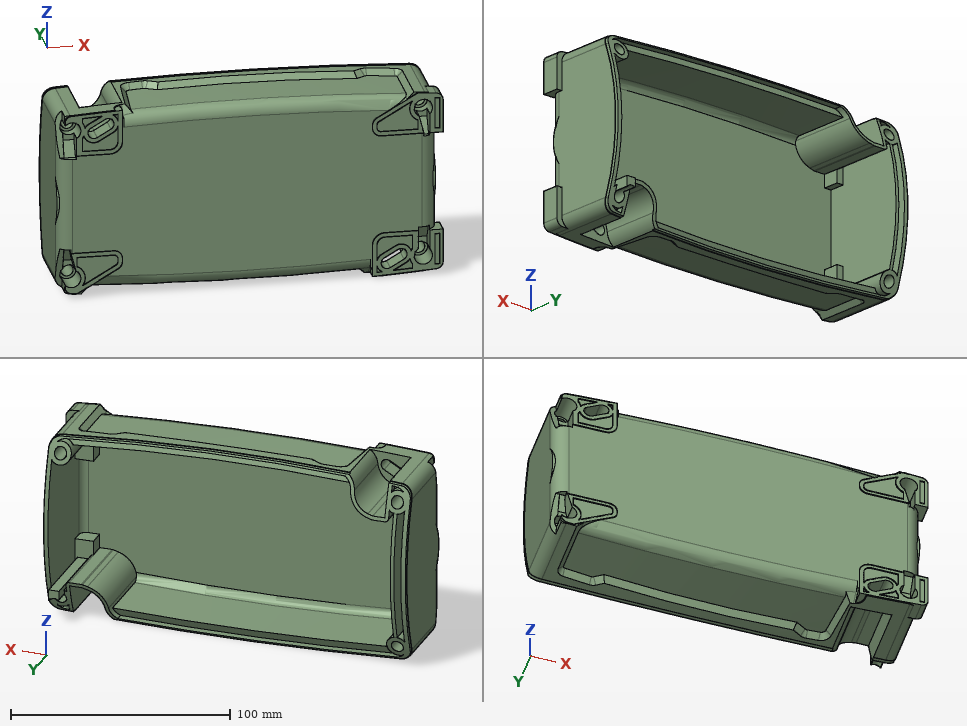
import cadquery as cq
import math


HALF_LENGTH = 88.0
HALF_HEIGHT = 46.365
SIDE_BOW = 3.2
CORNER_RADIUS = 6.0
FLOOR_Y = 0.5
END_ROUND = 6.8
SIDE_ROUND = 6.0

RIM_TOP_Y = 48.2
RIM_RADIUS = 107.6
RIM_BAND = 1.7
RIM_STEP = 0.25

PAD_RADIUS = 18.8
PAD_BOTTOM_Y = 3.3

END_WALL = 2.4
SIDE_WALL = 5.0
CAVITY_FLOOR_Y = 3.0
CAVITY_ROUND = 3.5
LIP_WALL = 1.2
LIP_HEIGHT = 3.5

PANEL_DEPTH = 2.7
PANEL_X_MIN_TOP = -49.0
PANEL_X_MIN_BOTTOM = -51.5
PANEL_X_MAX = 74.0
PANEL_TOP_MID = 24.8
PANEL_TOP_END = 28.3
PANEL_NOTCH_X = -57.3
PANEL_NOTCH_Y = 2.3
PANEL_START_Z = 35.0
PANEL_FLARE_Z = 40.5
PANEL_FLARE_ANGLE = 45.0
PANEL_STEP_X = ((-43.0, -37.5), (56.5, 61.0))

SCREW_X = 81.7
SCREW_Z = 36.0
SCREW_DIAMETER = 5.8
COUNTERBORE_DIAMETER = 8.4
COUNTERBORE_DEPTH = 12.0
BOSS_RADIUS = 5.2
FOOT_HEIGHT = 9.2
FOOT_INNER_X = 58.1
FOOT_INNER_Z = 23.7
FOOT_RADIUS = 5.8
FOOT_OVERHANG_X = 90.93
FOOT_OVERHANG_RADIUS = 3.5
FOOT_SETBACK_X = 84.7
SETBACK_CORNER_RADIUS = 3.0
FOOT_RIM = 2.1
FOOT_INSET = 0.3
GUSSET_ANGLE = 30.0
GUSSET_CORNER_Z = 31.4
GUSSET_TIP_RADIUS = 4.0
CHANNEL_INNER_X = 79.4
CHANNEL_END_Z = 22.1
CHANNEL_SLOPE_Z = 29.3
CHANNEL_DEPTH = 7.2
GUSSET_CHANNEL_X = 82.0
ROOF_LOW_Y = 3.2
ROOF_HIGH_Y = 9.0
ROOF_HIGH_Z = 43.0
SQUARE_RELIEF_X = 76.7
GUSSET_RELIEF_X = 79.2
CORNER_BLOCK_Y = 11.5

GROOVE_X_MIN = 87.1
GROOVE_X_MAX = 89.3
GROOVE_Z_MAX = 40.5

SLOT_X = -68.1
SLOT_Z = 36.5
SLOT_WIDTH = 5.6
SLOT_LENGTH = 13.0
SLOT_ANGLE = 30.0
VALLEY_POST_X = -76.5
VALLEY_FLOOR_Z = 28.5
VALLEY_FLOOR_END_X = -70.6
VALLEY_CURVE_START = (-68.2, 29.2)
VALLEY_CURVE_MIDDLE = (-60.5, 38.5)
VALLEY_CURVE_END = (-52.5, 46.6)
VALLEY_WALL = 1.8

POST_X_MIN = 79.4
POST_X_MAX = 84.4
POST_Z_MIN = -34.4
POST_Z_MAX = -29.1
POST_TOP_Y = 50.5
POST_CHAMFER = 1.0
RIB_X_MIN = -82.2
RIB_THICKNESS = 1.7

BEYOND = 60.0
SIDE_ARC_RADIUS = (HALF_LENGTH**2 + SIDE_BOW**2) / (2 * SIDE_BOW)
CORNERS = [(sx, sz) for sx in (-1, 1) for sz in (-1, 1)]


def face_plane(y):
    return cq.Workplane("XZ", origin=(0, y, 0))


def block(x0, x1, y0, y1, z0, z1):
    return cq.Workplane("XY").box(x1 - x0, y1 - y0, z1 - z0, centered=False).translate((x0, y0, z0))


def corner_block(sx, sz, x0, x1, y0, y1, z0, z1):
    xs = sorted((sx * x0, sx * x1))
    zs = sorted((sz * z0, sz * z1))
    return block(xs[0], xs[1], y0, y1, zs[0], zs[1])


def upright_cylinder(x, z, radius, y0, y1):
    return face_plane(y0).center(x, z).circle(radius).extrude(y0 - y1)


def half_turn(shape):
    return shape.rotate((0, 0, 0), (0, 1, 0), 180)


def bowed_prism(half_length, inset, y0, y1):
    """Prism with straight ends and bowed sides, its sides inset from the body sides."""
    radius = SIDE_ARC_RADIUS - inset
    crest = HALF_HEIGHT - inset
    end_z = crest - radius + math.sqrt(radius**2 - half_length**2)
    return (
        face_plane(y0)
        .moveTo(-half_length, -end_z)
        .lineTo(-half_length, end_z)
        .threePointArc((0, crest), (half_length, end_z))
        .lineTo(half_length, -end_z)
        .threePointArc((0, -crest), (-half_length, -end_z))
        .close()
        .extrude(y0 - y1)
    )


def rim_cylinder(drop):
    """Cylinder along X whose top is the arched rim surface, lowered by drop."""
    return (
        cq.Workplane("YZ", origin=(-2 * BEYOND, 0, 0))
        .center(RIM_TOP_Y - RIM_RADIUS, 0)
        .circle(RIM_RADIUS - drop)
        .extrude(4 * BEYOND)
    )


def outer_body():
    body = bowed_prism(HALF_LENGTH, 0, FLOOR_Y, BEYOND).edges("|Y").fillet(CORNER_RADIUS)
    rounded_ends = (
        block(-HALF_LENGTH, HALF_LENGTH, FLOOR_Y, BEYOND, -BEYOND, BEYOND)
        .edges("|Z and <Y")
        .fillet(END_ROUND)
    )
    pads = (
        cq.Workplane("YZ", origin=(-HALF_LENGTH, 0, 0))
        .center(PAD_BOTTOM_Y + PAD_RADIUS, 0)
        .circle(PAD_RADIUS)
        .extrude(2 * HALF_LENGTH)
    )
    body = body.intersect(rounded_ends).union(pads).intersect(rim_cylinder(0))
    inside_band = bowed_prism(HALF_LENGTH - RIM_STEP, RIM_STEP, 0, BEYOND)
    inside_band = inside_band.edges("|Y").fillet(CORNER_RADIUS - RIM_STEP)
    return body.intersect(inside_band.union(rim_cylinder(RIM_BAND)))


def panel_recess():
    """Recess in the +Z side, flared outward, with a rounded lower edge left on the body."""
    (left_end, left_mid), (right_mid, right_end) = PANEL_STEP_X

    def outline(z):
        return (
            cq.Workplane("XY", origin=(0, 0, z))
            .moveTo(PANEL_NOTCH_X, -BEYOND)
            .lineTo(PANEL_NOTCH_X, PANEL_NOTCH_Y)
            .lineTo(PANEL_X_MIN_BOTTOM, PANEL_NOTCH_Y)
            .lineTo(PANEL_X_MIN_TOP, PANEL_TOP_END)
            .lineTo(left_end, PANEL_TOP_END)
            .lineTo(left_mid, PANEL_TOP_MID)
            .lineTo(right_mid, PANEL_TOP_MID)
            .lineTo(right_end, PANEL_TOP_END)
            .lineTo(PANEL_X_MAX, PANEL_TOP_END)
            .lineTo(PANEL_X_MAX, -BEYOND)
            .close()
        )

    straight = outline(PANEL_START_Z).extrude(PANEL_FLARE_Z - PANEL_START_Z)
    flared = outline(PANEL_FLARE_Z).extrude(HALF_HEIGHT + 1 - PANEL_FLARE_Z, taper=-PANEL_FLARE_ANGLE)
    core = bowed_prism(2 * HALF_LENGTH, PANEL_DEPTH, FLOOR_Y, BEYOND)
    core = core.faces("<Y").edges("%CIRCLE").fillet(SIDE_ROUND)
    return straight.union(flared).cut(core)


def valley_outline(y):
    """Access valley beside the (-X, +Z) slot: near-flat floor, then an S-curve up to the side."""
    return (
        face_plane(y)
        .moveTo(VALLEY_POST_X, BEYOND)
        .lineTo(VALLEY_POST_X, VALLEY_FLOOR_Z)
        .lineTo(VALLEY_FLOOR_END_X, VALLEY_FLOOR_Z)
        .lineTo(*VALLEY_CURVE_START)
        .tangentArcPoint(VALLEY_CURVE_MIDDLE, relative=False)
        .tangentArcPoint(VALLEY_CURVE_END, relative=False)
        .lineTo(VALLEY_CURVE_END[0], BEYOND)
        .close()
    )


def cavity():
    space = bowed_prism(HALF_LENGTH - END_WALL, SIDE_WALL, CAVITY_FLOOR_Y, BEYOND)
    space = space.edges("|Y").fillet(CORNER_RADIUS).faces("<Y").edges().fillet(CAVITY_ROUND)
    lip_step = bowed_prism(HALF_LENGTH - END_WALL, LIP_WALL, CAVITY_FLOOR_Y, BEYOND)
    lip_step = lip_step.edges("|Y").fillet(CORNER_RADIUS).cut(rim_cylinder(LIP_HEIGHT))
    space = space.union(lip_step)
    kept_wall = valley_outline(0).offset2D(VALLEY_WALL).extrude(-BEYOND)
    space = space.cut(kept_wall).cut(half_turn(kept_wall))
    for sx, sz in CORNERS:
        space = space.cut(upright_cylinder(sx * SCREW_X, sz * SCREW_Z, BOSS_RADIUS, 0, BEYOND))
        space = space.cut(
            corner_block(
                sx, sz, SQUARE_RELIEF_X, HALF_LENGTH, 0, CORNER_BLOCK_Y, CHANNEL_END_Z - FOOT_RIM, BEYOND
            )
        )
    return space


def square_foot(inset, y0, y1):
    """Plate of the (-X, +Z) foot, rounded at its inner corner."""
    foot = block(
        -FOOT_OVERHANG_X, -FOOT_INNER_X - inset, y0, y1, FOOT_INNER_Z + inset, BEYOND
    )
    return foot.edges("|Y and >X and <Z").fillet(FOOT_RADIUS - inset)


def gusset_foot(inset, y0, y1):
    """Plate of the (-X, -Z) foot, with an edge sloping out to the side of the body."""
    slope = math.tan(math.radians(GUSSET_ANGLE))
    tip_x = -FOOT_INNER_X - inset
    top_z = -FOOT_INNER_Z - inset
    slope_z = -GUSSET_CORNER_Z + inset * (1 / math.cos(math.radians(GUSSET_ANGLE)) - slope)
    foot = (
        face_plane(y0)
        .moveTo(-FOOT_OVERHANG_X, top_z)
        .lineTo(tip_x, top_z)
        .lineTo(tip_x, slope_z)
        .lineTo(-FOOT_OVERHANG_X, slope_z - slope * (FOOT_OVERHANG_X + tip_x))
        .close()
        .extrude(y0 - y1)
    )
    return foot.edges("|Y and >X").fillet(GUSSET_TIP_RADIUS - inset)


def slot(growth, y0, y1):
    return (
        face_plane(y0)
        .center(SLOT_X, SLOT_Z)
        .slot2D(SLOT_LENGTH + 2 * growth, SLOT_WIDTH + 2 * growth, SLOT_ANGLE)
        .extrude(y0 - y1)
    )


def feet():
    plates = square_foot(0, 0, FOOT_HEIGHT).union(gusset_foot(0, 0, FOOT_HEIGHT))
    bounds = bowed_prism(FOOT_OVERHANG_X, FOOT_INSET, 0, FOOT_HEIGHT)
    bounds = bounds.edges("|Y").fillet(FOOT_OVERHANG_RADIUS)
    setback = block(-FOOT_SETBACK_X, FOOT_OVERHANG_X, 0, FOOT_HEIGHT, -BEYOND, BEYOND)
    plates = plates.union(half_turn(plates)).intersect(bounds).intersect(setback)
    return plates.edges("|Y and <X").fillet(SETBACK_CORNER_RADIUS)


def foot_reliefs():
    """Shallow pockets that leave a raised rim around each foot, its slot and its screw."""
    square = square_foot(FOOT_RIM, 0, FLOOR_Y).cut(slot(FOOT_RIM, 0, FLOOR_Y))
    square = square.intersect(bowed_prism(SQUARE_RELIEF_X, FOOT_RIM, 0, FLOOR_Y))
    gusset = gusset_foot(FOOT_RIM, 0, FLOOR_Y)
    gusset = gusset.intersect(bowed_prism(GUSSET_RELIEF_X, FOOT_RIM, 0, FLOOR_Y))
    screw_rim = COUNTERBORE_DIAMETER / 2 + FOOT_RIM
    reliefs = square.union(gusset)
    for sz in (-1, 1):
        reliefs = reliefs.cut(upright_cylinder(-SCREW_X, sz * SCREW_Z, screw_rim, 0, FLOOR_Y))
    return reliefs.union(half_turn(reliefs))


def both_sides_prism(outline):
    """Prism along the whole length from a (y, z) outline, with its copy on the -Z side."""
    half = cq.Workplane("YZ", origin=(-2 * BEYOND, 0, 0)).polyline(outline).close().extrude(4 * BEYOND)
    return half.union(half_turn(half))


def foot_setback():
    """Removes the end of the body beside the -X feet, up to a sloping roof."""
    under_roof = both_sides_prism(
        [
            (-1, CHANNEL_END_Z),
            (ROOF_LOW_Y, CHANNEL_END_Z),
            (ROOF_HIGH_Y, ROOF_HIGH_Z),
            (ROOF_HIGH_Y, BEYOND),
            (-1, BEYOND),
        ]
    )
    return block(-2 * BEYOND, -FOOT_SETBACK_X, -1, BEYOND, -BEYOND, BEYOND).intersect(under_roof)


def screw_channels():
    """Counterbores with channels that run toward mid height and end in a slope."""
    run_out = both_sides_prism(
        [
            (0, CHANNEL_END_Z),
            (ROOF_LOW_Y, CHANNEL_END_Z),
            (CHANNEL_DEPTH, CHANNEL_SLOPE_Z),
            (CHANNEL_DEPTH, BEYOND),
            (0, BEYOND),
        ]
    )
    channels = cq.Workplane("XY")
    for sx, sz in CORNERS:
        end_x = CHANNEL_INNER_X if sx * sz < 0 else GUSSET_CHANNEL_X
        plan = [
            (CHANNEL_INNER_X, SCREW_Z),
            (CHANNEL_INNER_X, SCREW_Z - BOSS_RADIUS / 2),
            (end_x, FOOT_INNER_Z),
            (end_x, CHANNEL_END_Z),
            (FOOT_SETBACK_X, CHANNEL_END_Z),
            (FOOT_SETBACK_X, SCREW_Z),
        ]
        channel = face_plane(0).polyline([(sx * x, sz * z) for x, z in plan]).close().extrude(-BEYOND)
        counterbore = upright_cylinder(
            sx * SCREW_X, sz * SCREW_Z, COUNTERBORE_DIAMETER / 2, 0, COUNTERBORE_DEPTH
        )
        channels = channels.add(channel.intersect(run_out).union(counterbore))
    return channels.combine()


def foot_grooves():
    grooves = cq.Workplane("XY")
    for sz in (-1, 1):
        z0 = FOOT_INNER_Z + FOOT_RIM
        grooves = grooves.add(
            corner_block(1, sz, GROOVE_X_MIN, GROOVE_X_MAX, 0, FLOOR_Y, z0, GROOVE_Z_MAX)
        )
    return grooves.combine()


def end_rib():
    rib = block(RIB_X_MIN, RIB_X_MIN + RIB_THICKNESS, CAVITY_FLOOR_Y - 1, BEYOND, -SCREW_Z, SCREW_Z)
    return rib.intersect(rim_cylinder(0))


def locating_post():
    post = block(POST_X_MIN, POST_X_MAX, CORNER_BLOCK_Y - 1, POST_TOP_Y, POST_Z_MIN, POST_Z_MAX)
    return post.edges("|Y and <X and <Z").chamfer(POST_CHAMFER)


recess = panel_recess()
side_valley = valley_outline(FOOT_HEIGHT).extrude(-BEYOND)

result = outer_body().cut(recess).cut(half_turn(recess))
result = result.union(feet())
result = result.cut(side_valley).cut(half_turn(side_valley))
result = result.cut(cavity())
result = result.union(end_rib())
result = result.union(locating_post())
result = result.cut(foot_setback()).cut(screw_channels()).cut(foot_reliefs()).cut(foot_grooves())
slot_cut = slot(0, -1, FOOT_HEIGHT + 1)
result = result.cut(slot_cut).cut(half_turn(slot_cut))
for sx, sz in CORNERS:
    result = result.cut(upright_cylinder(sx * SCREW_X, sz * SCREW_Z, SCREW_DIAMETER / 2, -1, BEYOND))